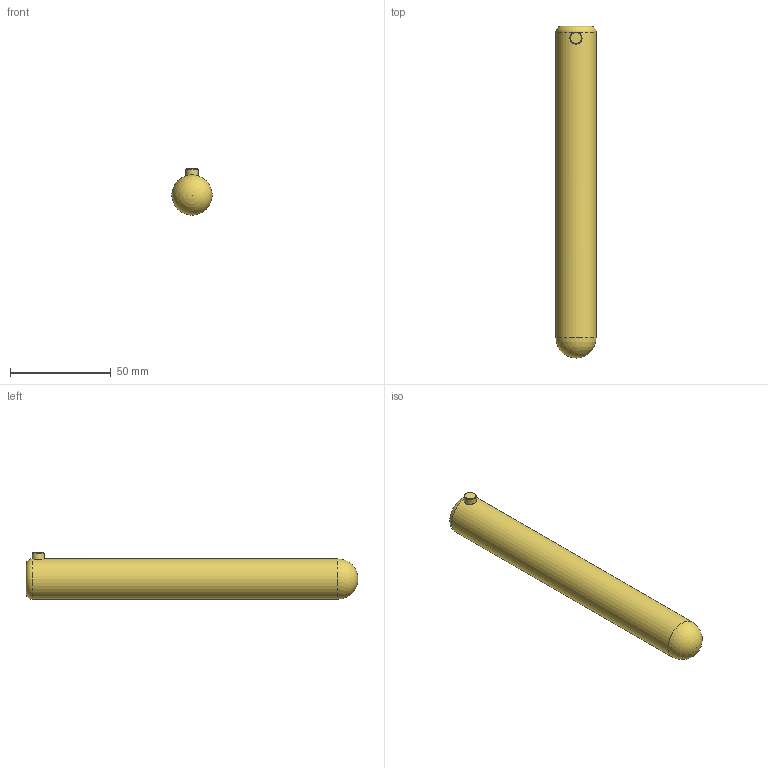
import cadquery as cq
import math

rod_radius = 10.0
rod_length = 165.0
tail_round = 3.0

pin_radius = 3.0
pin_projection = 3.0
pin_tip_chamfer = 0.25

nose_center_y = rod_radius
tail_round_start_y = rod_length - tail_round
pin_y = tail_round_start_y - pin_radius


def make_rod():
    """Revolve the upper half profile of the rod about the Y axis."""
    diagonal = math.sqrt(0.5)
    nose_mid = (nose_center_y - rod_radius * diagonal, rod_radius * diagonal)
    tail_face_radius = rod_radius - tail_round
    tail_mid = (
        tail_round_start_y + tail_round * diagonal,
        tail_face_radius + tail_round * diagonal,
    )
    profile = (
        cq.Workplane("YZ")
        .moveTo(0, 0)
        .threePointArc(nose_mid, (nose_center_y, rod_radius))
        .lineTo(tail_round_start_y, rod_radius)
        .threePointArc(tail_mid, (rod_length, tail_face_radius))
        .lineTo(rod_length, 0)
        .close()
    )
    return profile.revolve(360, (0, 0, 0), (1, 0, 0))


def make_pin():
    """Pin rising from the rod axis to above the rod surface, with a chamfered tip edge."""
    return (
        cq.Workplane("XY")
        .center(0, pin_y)
        .circle(pin_radius)
        .extrude(rod_radius + pin_projection)
        .faces(">Z")
        .edges()
        .chamfer(pin_tip_chamfer)
    )


result = make_rod().union(make_pin())